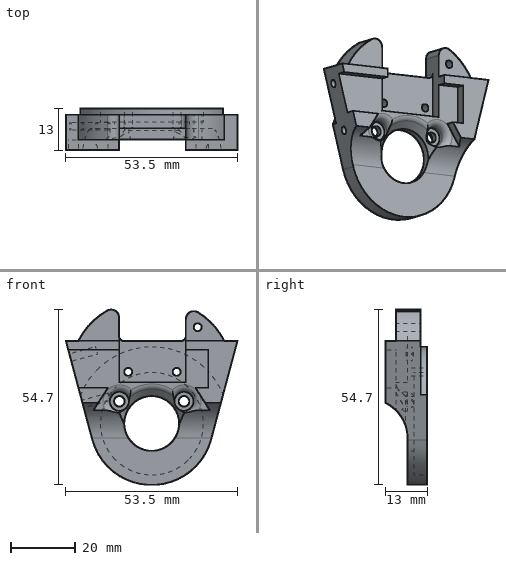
import cadquery as cq
import math

depth = 13.0
pocket_floor_y = 3.3
plate_front_y = 6.9
step_y = 11.05

top_width = 53.5
body_top_z = 44.9
bottom_radius = 19.2
bore_z = bottom_radius
side_angle = math.radians(15.1)

bore_radius = 17.0 / 2
rear_recess_radius = 32.0 / 2
rear_recess_floor_y = 8.9
back_disc_radius = 23.95
cove_radius = 12.0
cove_end_z = 14.75
funnel_depth = 2.95
funnel_angle = math.radians(45)

channel_left_x = -10.1
channel_right_x = 10.6
channel_bottom_z = 32.05
channel_center_x = (channel_left_x + channel_right_x) / 2
channel_corner_radius = 1.5

pocket_bottom_z = 30.25
pocket_top_z = 42.2
right_pocket_end_x = 17.55
clearing_top_half_width = 13.65
clearing_edge_z = 23.25
clearing_edge_half_width = 18.15

overall_height = 54.7
right_ear_top_z = 54.2
ear_tip_radius = 2.5
ear_outer_radius = 22.4
left_ear_foot_x = -22.85
right_ear_foot_x = 22.65

screw_x = 10.05
screw_z = 26.1
screw_radius = 3.2 / 2
counterbore_radius = 2.95
counterbore_floor_y = 6.9
mouth_radius = 2.25
small_hole_radius = 2.4 / 2
channel_hole_spacing = 15.1
channel_hole_z = 35.25
ear_hole_x = 14.3
ear_hole_z = 49.15
side_hole_y = 7.55
side_hole_zs = (25.35, 39.8)
side_hole_depth = 8.4


def box(x_range, y_range, z_range):
    sizes = [r[1] - r[0] for r in (x_range, y_range, z_range)]
    corner = (x_range[0], y_range[0], z_range[0])
    return cq.Workplane("XY").box(*sizes, centered=False).translate(corner)


def extrude_y(profile, y_start, y_end):
    """Extrude an XZ profile between two Y levels."""
    return profile.extrude(-(y_end - y_start)).translate((0, y_start, 0))


def cylinder_y(x, z, radius, y_start=0, y_end=depth):
    return extrude_y(cq.Workplane("XZ").center(x, z).circle(radius), y_start, y_end)


def body():
    tangent_x = bottom_radius * math.cos(side_angle)
    tangent_z = bottom_radius * (1 - math.sin(side_angle))
    outline = (
        cq.Workplane("XZ")
        .moveTo(-top_width / 2, body_top_z)
        .lineTo(-tangent_x, tangent_z)
        .threePointArc((0, 0), (tangent_x, tangent_z))
        .lineTo(top_width / 2, body_top_z)
        .close()
    )
    block = extrude_y(outline, 0, depth)
    disc = cylinder_y(0, bore_z, back_disc_radius, step_y, depth)
    front = block.intersect(box((-top_width, top_width), (0, step_y), (0, body_top_z)))
    return front.union(block.intersect(disc))


def lower_cove():
    """Front material removed below the concave sweep down to the thin plate."""
    axis_y = plate_front_y - cove_radius
    cove_top_z = cove_end_z + math.sqrt(cove_radius**2 - axis_y**2)
    arc_angle = math.atan2(cove_top_z - cove_end_z, -axis_y) / 2
    arc_middle = (
        axis_y + cove_radius * math.cos(arc_angle),
        cove_end_z + cove_radius * math.sin(arc_angle),
    )
    return (
        cq.Workplane("YZ")
        .moveTo(0, 0)
        .lineTo(plate_front_y, 0)
        .lineTo(plate_front_y, cove_end_z)
        .threePointArc(arc_middle, (0, cove_top_z))
        .close()
        .extrude(top_width / 2, both=True)
    )


def ear(inner_x, foot_x, top_z):
    """Ear with a straight inner wall, a rounded tip and a curved outer edge."""
    side = math.copysign(1, foot_x)
    tip_x = inner_x + side * ear_tip_radius
    tip_z = top_z - ear_tip_radius
    run = abs(foot_x - tip_x)
    rise = tip_z - body_top_z
    span = math.hypot(run, rise)
    center_gap = ear_outer_radius - ear_tip_radius
    foot_cosine = (span**2 + ear_outer_radius**2 - center_gap**2) / (2 * span * ear_outer_radius)
    direction = math.acos(foot_cosine) - math.atan2(rise, run)
    center_run = run - ear_outer_radius * math.cos(direction)
    center_z = body_top_z - ear_outer_radius * math.sin(direction)
    touch_angle = math.atan2(tip_z - center_z, -center_run)
    foot_angle = math.atan2(body_top_z - center_z, run - center_run)

    def outer_point(angle):
        return (
            tip_x + side * (center_run + ear_outer_radius * math.cos(angle)),
            center_z + ear_outer_radius * math.sin(angle),
        )

    outline = (
        cq.Workplane("XZ")
        .moveTo(inner_x, body_top_z)
        .lineTo(inner_x, tip_z)
        .threePointArc((tip_x, top_z), outer_point(touch_angle))
        .threePointArc(outer_point((touch_angle + foot_angle) / 2), (foot_x, body_top_z))
        .close()
    )
    return extrude_y(outline, pocket_floor_y, step_y)


def front_pockets():
    z_range = (pocket_bottom_z, pocket_top_z)
    pockets = box((-top_width / 2, right_pocket_end_x), (0, pocket_floor_y), z_range)
    clearing = cq.Workplane("XZ").polyline(
        [
            (-clearing_top_half_width, pocket_bottom_z),
            (clearing_top_half_width, pocket_bottom_z),
            (clearing_edge_half_width, clearing_edge_z),
            (-clearing_edge_half_width, clearing_edge_z),
        ]
    ).close()
    return pockets.union(extrude_y(clearing, 0, pocket_floor_y))


def channel():
    return box(
        (channel_left_x, channel_right_x),
        (0, plate_front_y),
        (channel_bottom_z, overall_height),
    )


def channel_corner(wall_x, side):
    """Concave fillet between the plate top and an ear wall."""
    radius = channel_corner_radius
    inner_x = wall_x - side * radius
    square = cq.Workplane("XZ").polyline(
        [
            (inner_x, body_top_z),
            (wall_x, body_top_z),
            (wall_x, body_top_z + radius),
            (inner_x, body_top_z + radius),
        ]
    ).close()
    block = extrude_y(square, plate_front_y, step_y)
    return block.cut(cylinder_y(inner_x, body_top_z + radius, radius))


def revolve_about_y(profile, x, z):
    """Revolve an XY profile about the Y axis and move its axis to (x, z)."""
    return profile.close().revolve(360, (0, 0, 0), (0, 1, 0)).translate((x, 0, z))


def counterbore(x):
    """Flat-bottomed counterbore whose mouth is rounded out to the pocket floor."""
    bend = mouth_radius * math.sqrt(0.5)
    profile = (
        cq.Workplane("XY")
        .moveTo(0, pocket_floor_y)
        .lineTo(counterbore_radius + mouth_radius, pocket_floor_y)
        .threePointArc(
            (counterbore_radius + mouth_radius - bend, pocket_floor_y + mouth_radius - bend),
            (counterbore_radius, pocket_floor_y + mouth_radius),
        )
        .lineTo(counterbore_radius, counterbore_floor_y)
        .lineTo(0, counterbore_floor_y)
    )
    return revolve_about_y(profile, x, screw_z)


def bore_funnel():
    """45 degree countersink of the bore, with a rounded mouth at the pocket floor."""
    cone_end_y = pocket_floor_y + funnel_depth
    slope = funnel_angle
    mouth_corner = bore_radius + funnel_depth * math.tan(slope)
    setback = mouth_radius * math.tan(slope / 2)
    arc_center = (mouth_corner + setback, pocket_floor_y + mouth_radius)
    profile = (
        cq.Workplane("XY")
        .moveTo(0, pocket_floor_y)
        .lineTo(mouth_corner + setback, pocket_floor_y)
        .threePointArc(
            (
                arc_center[0] - mouth_radius * math.sin(slope / 2),
                arc_center[1] - mouth_radius * math.cos(slope / 2),
            ),
            (
                arc_center[0] - mouth_radius * math.sin(slope),
                arc_center[1] - mouth_radius * math.cos(slope),
            ),
        )
        .lineTo(bore_radius, cone_end_y)
        .lineTo(0, cone_end_y)
    )
    return revolve_about_y(profile, 0, bore_z)


def side_hole(z):
    """Blind hole drilled square to the left tapered side."""
    x = -top_width / 2 + (body_top_z - z) * math.tan(side_angle)
    inward = cq.Vector(math.cos(side_angle), 0, math.sin(side_angle))
    entry = cq.Vector(x, side_hole_y, z)
    lead = small_hole_radius
    return cq.Solid.makeCylinder(
        small_hole_radius, lead + side_hole_depth, entry - inward * lead, inward
    )


result = (
    body()
    .union(ear(channel_left_x, left_ear_foot_x, overall_height))
    .union(ear(channel_right_x, right_ear_foot_x, right_ear_top_z))
    .union(channel_corner(channel_left_x, -1))
    .union(channel_corner(channel_right_x, 1))
    .cut(lower_cove())
    .cut(front_pockets())
    .cut(channel())
    .cut(bore_funnel())
    .cut(cylinder_y(0, bore_z, bore_radius))
    .cut(cylinder_y(0, bore_z, rear_recess_radius, rear_recess_floor_y, depth))
    .cut(cylinder_y(ear_hole_x, ear_hole_z, small_hole_radius))
)
for side in (-1, 1):
    channel_hole_x = channel_center_x + side * channel_hole_spacing / 2
    result = (
        result.cut(counterbore(side * screw_x))
        .cut(cylinder_y(side * screw_x, screw_z, screw_radius))
        .cut(cylinder_y(channel_hole_x, channel_hole_z, small_hole_radius))
    )
for hole_z in side_hole_zs:
    result = result.cut(side_hole(hole_z))